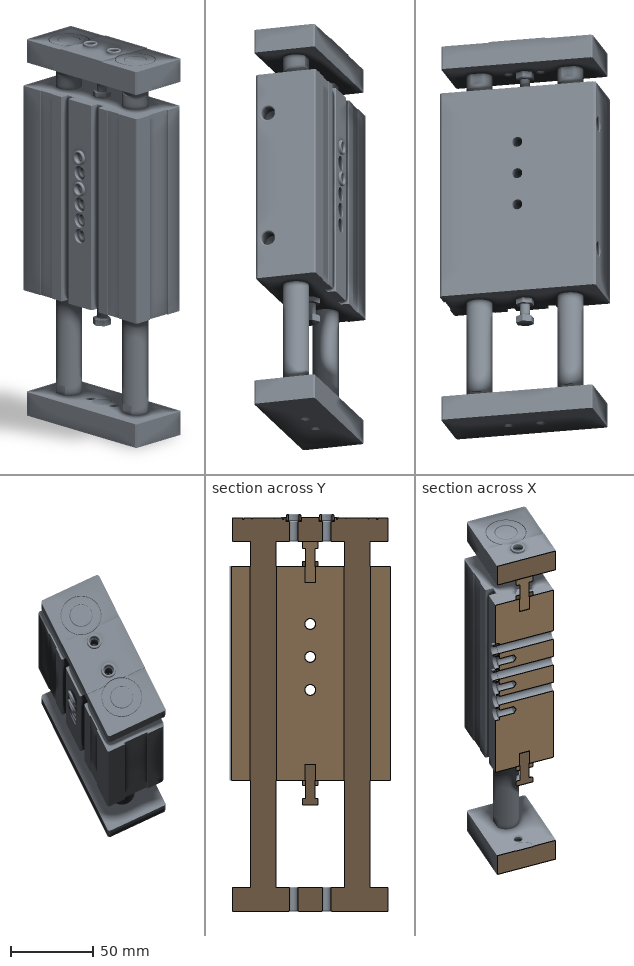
import cadquery as cq
import math


plate_height = 15.0
lower_gap = 64.8
housing_length = 130.5
upper_gap = 15.0
housing_bottom = plate_height + lower_gap
housing_top = housing_bottom + housing_length
housing_middle = (housing_bottom + housing_top) / 2
upper_plate_bottom = housing_top + upper_gap
upper_plate_top = upper_plate_bottom + plate_height

housing_width = 98.0
housing_depth = 38.5
housing_front = -housing_depth / 2
housing_chamfer = 1.5
housing_fillet = 1.2
slot_inner_edge = 10.2
slot_width = 5.3
slot_depth = 5.0
slot_chamfer = 0.5
strip_inner_edge = 23.7
strip_width = 10.0
strip_depth = 0.5
side_channel_width = 15.5
side_channel_depth = 1.0

port_diameter = 8.5
port_mouth_diameter = 9.7
port_depth = 9.7
port_end_distance = 25.2
port_y = 11.4

plate_width = 95.0
plate_depth = 39.0
plate_back = 20.8
plate_chamfer = 1.0
rod_diameter = 16.0
rod_spacing = 57.0
flat_across = 14.0
upper_flat_height = 6.8
lower_flat_height = 6.0
pad_width = 35.5
pad_height = 0.5
rod_end_diameter = 14.0
rod_end_groove = 0.5
rod_seat_diameter = 25.0
rod_ring_diameter = 24.0
rod_ring_depth = 0.7
stop_recess_diameter = 12.0
stop_recess_depth = 0.2

sleeve_spacing = 20.0
hole_pitch = sleeve_spacing / 2
sleeve_diameter = 9.0
sleeve_bore = 6.0
sleeve_end_round = 0.7
sleeve_seat_depth = 2.5
sleeve_protrusion = 1.7
sleeve_length = sleeve_seat_depth + sleeve_protrusion
through_diameter = 6.3
thread_diameter = 4.8
thread_mouth_diameter = 5.5
plate_hole_mouth_diameter = 6.0
thread_depth = 9.7

screw_diameter = 6.0
screw_insertion = 9.7
hex_across_flats = 10.0
hex_across_corners = hex_across_flats * 2 / math.sqrt(3)
head_height = 4.4
hex_chamfer = 0.7
nut_height = 3.1

drill_point_angle = 118
rod_positions = [(side * rod_spacing / 2, 0) for side in (-1, 1)]
plate_hole_positions = [(side * sleeve_spacing / 2, 0) for side in (-1, 1)]
through_hole_heights = [housing_middle + step * hole_pitch for step in (3, 1, -1)]
thread_hole_heights = [housing_middle + step * hole_pitch for step in (2, 0, -2)]
sleeve_heights = through_hole_heights[:2]
port_heights = (housing_bottom + port_end_distance, housing_top - port_end_distance)


def block(x_min, x_max, y_min, y_max, z_min, z_max):
    return cq.Workplane("XY").box(
        x_max - x_min, y_max - y_min, z_max - z_min, centered=False
    ).translate((x_min, y_min, z_min))


def discs(positions, diameter, z_min, z_max):
    plane = cq.Workplane("XY", origin=(0, 0, z_min))
    return plane.pushPoints(positions).circle(diameter / 2).extrude(z_max - z_min)


def drilled_hole(point, direction, diameter, mouth_diameter, depth):
    """Blind hole with a countersunk mouth and a conical end, starting at point."""
    radius = diameter / 2
    mouth_radius = mouth_diameter / 2
    tip = depth + radius / math.tan(math.radians(drill_point_angle / 2))
    profile = [
        (0, 0), (mouth_radius, 0), (radius, mouth_radius - radius), (radius, depth), (0, tip),
    ]
    tool = cq.Workplane("XZ").polyline(profile).close().revolve(360, (0, 0), (0, 1)).val()
    return tool.moved(cq.Location(cq.Plane(point, normal=direction)))


def front_cylinder(height, diameter, depth):
    """Cylinder running from the front face of the housing into it."""
    return cq.Solid.makeCylinder(
        diameter / 2, depth, cq.Vector(0, housing_front, height), cq.Vector(0, 1, 0)
    )


def cut_slots(body):
    slot_floor = housing_front + slot_depth
    slot_outer_edge = slot_inner_edge + slot_width
    profile = [
        (slot_inner_edge - slot_chamfer, housing_front),
        (slot_inner_edge, housing_front + slot_chamfer),
        (slot_inner_edge, slot_floor),
        (slot_outer_edge, slot_floor),
        (slot_outer_edge, housing_front + slot_chamfer),
        (slot_outer_edge + slot_chamfer, housing_front),
    ]
    slot = (
        cq.Workplane("XY", origin=(0, 0, housing_bottom))
        .polyline(profile).close().extrude(housing_length)
    )
    strip = block(
        strip_inner_edge, strip_inner_edge + strip_width,
        housing_front, housing_front + strip_depth, housing_bottom, housing_top,
    )
    for groove in (slot, strip):
        body = body.cut(groove).cut(groove.mirror("YZ"))
    side_channel = block(
        housing_width / 2 - side_channel_depth, housing_width / 2,
        -side_channel_width / 2, side_channel_width / 2, housing_bottom, housing_top,
    )
    return body.cut(side_channel)


def cut_front_holes(body):
    for height in through_hole_heights:
        body = body.cut(front_cylinder(height, sleeve_diameter, sleeve_seat_depth))
        body = body.cut(front_cylinder(height, through_diameter, housing_depth))
    for height in thread_hole_heights:
        body = body.cut(front_cylinder(height, sleeve_diameter, sleeve_seat_depth))
        seat_floor = (0, housing_front + sleeve_seat_depth, height)
        body = body.cut(
            drilled_hole(seat_floor, (0, 1, 0), thread_diameter, thread_mouth_diameter, thread_depth)
        )
    return body


def make_housing():
    body = block(
        -housing_width / 2, housing_width / 2, housing_front, -housing_front,
        housing_bottom, housing_top,
    )
    body = body.edges("|Z and >Y").chamfer(housing_chamfer)
    body = body.edges("|Z and <Y").fillet(housing_fillet)
    body = cut_slots(body)
    body = cut_front_holes(body)
    for height in port_heights:
        mouth = (-housing_width / 2, port_y, height)
        body = body.cut(
            drilled_hole(mouth, (1, 0, 0), port_diameter, port_mouth_diameter, port_depth)
        )
    body = body.cut(discs(rod_positions, rod_diameter, housing_bottom, housing_top))
    centre = [(0, 0)]
    body = body.cut(
        discs(centre, screw_diameter, housing_bottom, housing_bottom + screw_insertion)
    )
    return body.cut(discs(centre, screw_diameter, housing_top - screw_insertion, housing_top))


def make_plate(bottom):
    plate = block(
        -plate_width / 2, plate_width / 2, plate_back - plate_depth, plate_back,
        bottom, bottom + plate_height,
    )
    return plate.edges("|Z").chamfer(plate_chamfer)


def make_rods():
    """Round rods between the plates, with wrench flats front and back next to each plate."""
    rods = discs(rod_positions, rod_diameter, plate_height, upper_plate_bottom)
    flat_levels = (
        (plate_height, plate_height + lower_flat_height),
        (upper_plate_bottom - upper_flat_height, upper_plate_bottom),
    )
    for z_min, z_max in flat_levels:
        cutter = block(
            -housing_width / 2, housing_width / 2, flat_across / 2, rod_diameter, z_min, z_max
        )
        rods = rods.cut(cutter).cut(cutter.mirror("XZ"))
    return rods


def cut_rod_ends(frame):
    """Seats on top of the upper plate, each with an edge groove and a V groove round the rod end."""
    side_level = upper_plate_top - pad_height
    seats = discs(rod_positions, rod_seat_diameter, side_level, upper_plate_top)
    rings = discs(rod_positions, rod_seat_diameter, side_level - rod_ring_depth, side_level)
    cores = discs(rod_positions, rod_ring_diameter, side_level - rod_ring_depth, side_level)
    frame = frame.cut(seats).cut(rings.cut(cores))
    end_radius = rod_end_diameter / 2
    groove_profile = [
        (end_radius, side_level),
        (end_radius, side_level - rod_end_groove),
        (end_radius - rod_end_groove, side_level),
    ]
    groove = cq.Workplane("XZ").polyline(groove_profile).close().revolve(360, (0, 0), (0, 1))
    for x, y in rod_positions:
        frame = frame.cut(groove.translate((x, y, 0)))
    return frame


def cut_plate_holes(frame):
    """Through threads countersunk at both ends, with sleeve seats on top of the upper plate."""
    seat_level = upper_plate_top - sleeve_seat_depth
    frame = frame.cut(
        discs(plate_hole_positions, sleeve_diameter, seat_level, upper_plate_top)
    )
    for z_min, z_max in ((0, plate_height), (upper_plate_bottom, seat_level)):
        half_depth = (z_max - z_min) / 2
        for x, y in plate_hole_positions:
            for level, direction in ((z_min, (0, 0, 1)), (z_max, (0, 0, -1))):
                frame = frame.cut(
                    drilled_hole(
                        (x, y, level), direction,
                        thread_diameter, plate_hole_mouth_diameter, half_depth,
                    )
                )
    return frame


def make_frame():
    upper_plate = make_plate(upper_plate_bottom)
    for side in (-1, 1):
        edges = sorted((side * pad_width / 2, side * plate_width / 2))
        upper_plate = upper_plate.cut(
            block(
                *edges, plate_back - plate_depth, plate_back,
                upper_plate_top - pad_height, upper_plate_top,
            )
        )
    frame = make_plate(0).union(make_rods()).union(upper_plate)
    frame = cut_rod_ends(frame)
    frame = cut_plate_holes(frame)
    return frame.cut(
        discs([(0, 0)], stop_recess_diameter, plate_height - stop_recess_depth, plate_height)
    )


def make_sleeve(seat_point, direction):
    """Centring sleeve standing on its seat, with both rims rounded."""
    sleeve = (
        cq.Workplane("XY").circle(sleeve_diameter / 2).circle(sleeve_bore / 2)
        .extrude(sleeve_length)
        .edges("%CIRCLE").fillet(sleeve_end_round)
    )
    return sleeve.val().moved(cq.Location(cq.Plane(seat_point, normal=direction)))


def hexagon(z_min, height):
    """Hexagonal prism with two faces square to X."""
    return (
        cq.Workplane("XY", origin=(0, 0, z_min))
        .transformed(rotate=(0, 0, 90))
        .polygon(6, hex_across_corners).extrude(height)
    )


def make_upper_screw():
    """Stop screw whose head ends against the upper plate; the head's inner side is bevelled."""
    head_bottom = upper_plate_bottom - head_height
    head = hexagon(head_bottom, head_height).faces("<Z").chamfer(hex_chamfer)
    shank = discs([(0, 0)], screw_diameter, housing_top - screw_insertion, head_bottom)
    return head.union(shank)


def make_upper_nut():
    nut = hexagon(housing_top, nut_height)
    return nut.cut(discs([(0, 0)], screw_diameter, housing_top, housing_top + nut_height))


housing = make_housing()
frame = make_frame()
sleeve_seats = [
    *(((0, housing_front + sleeve_seat_depth, z), (0, -1, 0)) for z in sleeve_heights),
    *(((x, y, upper_plate_top - sleeve_seat_depth), (0, 0, 1)) for x, y in plate_hole_positions),
]
sleeves = [make_sleeve(point, direction) for point, direction in sleeve_seats]

mirror_base = (0, 0, housing_middle)
upper_screw = make_upper_screw()
upper_nut = make_upper_nut()
screws = [upper_screw.val(), upper_screw.mirror("XY", mirror_base).val()]
nuts = [upper_nut.val(), upper_nut.mirror("XY", mirror_base).val()]

result = cq.Compound.makeCompound([housing.val(), frame.val(), *sleeves, *screws, *nuts])